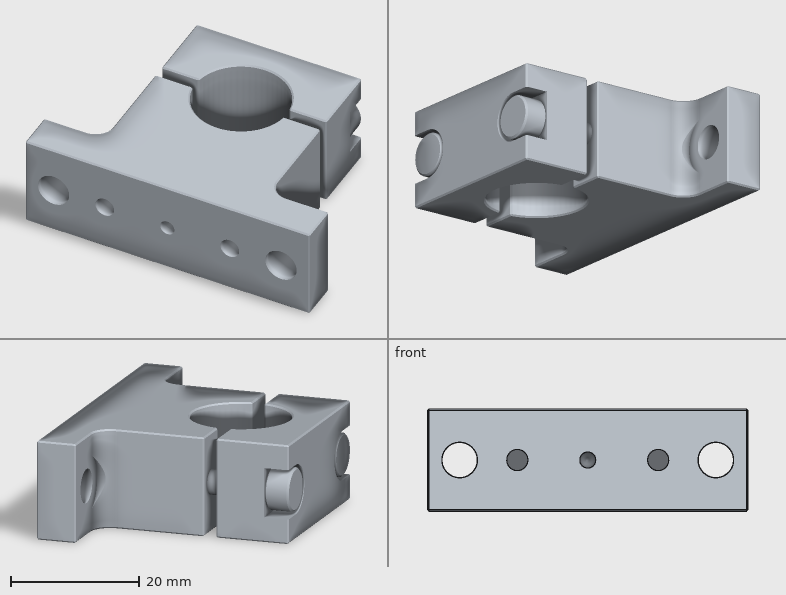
import cadquery as cq
import math


flange_length = 50.0
block_width = 29.0
total_depth = 38.0
height = 16.0
flange_thickness = 6.5
flange_fillet = 3.1
edge_chamfer = 0.25
mid_height = height / 2

bore_diameter = 16.0
bore_y = 25.0
clamp_gap = 2.0
base_top_y = bore_y - clamp_gap / 2
cap_bottom_y = bore_y + clamp_gap / 2

screw_spacing = 22.0
screw_x_positions = (-screw_spacing / 2, screw_spacing / 2)
shank_diameter = 4.0
shank_length = 20.0
head_diameter = 7.0
head_height = 4.0
head_chamfer = 0.3
recess_width = 8.0
seat_y = total_depth - head_height
shank_end_y = seat_y - shank_length

tap_drill_diameter = 3.3
mount_hole_diameter = 5.5
mount_hole_spacing = 40.0
spotface_diameter = 10.0
center_hole_diameter = 2.5
center_hole_depth = 1.3
drill_point_angle = 90.0


def y_cylinder(diameter, x, y_start, length):
    """Cylinder along +Y at mid height, starting at y_start."""
    return cq.Workplane(
        cq.Solid.makeCylinder(
            diameter / 2, length, cq.Vector(x, y_start, mid_height), cq.Vector(0, 1, 0)
        )
    )


def shaft_bore():
    """Cylinder along Z that clears the shaft through both halves."""
    return cq.Workplane("XY").center(0, bore_y).circle(bore_diameter / 2).extrude(height)


def chamfer_outside(body):
    """Break every edge except the smooth tangent lines where a flange fillet begins and ends."""
    face_edges = body.faces("<Z or >Z").edges()
    fillet_start_x = block_width / 2 + flange_fillet
    fillet_end_y = flange_thickness + flange_fillet
    corner_edges = body.edges("|Z").filter(
        lambda edge: abs(edge.Center().y - fillet_end_y) > edge_chamfer
        and abs(abs(edge.Center().x) - fillet_start_x) > edge_chamfer
    )
    return body.newObject(face_edges.vals() + corner_edges.vals()).chamfer(edge_chamfer)


def center_hole():
    """Blind drilled hole with a conical end, revolved about the Y axis."""
    radius = center_hole_diameter / 2
    point_length = radius / math.tan(math.radians(drill_point_angle / 2))
    return (
        cq.Workplane("XY")
        .workplane(offset=mid_height)
        .moveTo(0, 0)
        .lineTo(radius, 0)
        .lineTo(radius, center_hole_depth)
        .lineTo(0, center_hole_depth + point_length)
        .close()
        .revolve(360, (0, 0, 0), (0, 1, 0))
    )


def make_base():
    """Flanged base with the lower half of the bore and all its holes."""
    flange = cq.Workplane("XY").box(
        flange_length, flange_thickness, height, centered=(True, False, False)
    )
    block = cq.Workplane("XY").box(
        block_width, base_top_y, height, centered=(True, False, False)
    )
    inner_corners = cq.selectors.BoxSelector(
        (-flange_length / 2 + edge_chamfer, flange_thickness - edge_chamfer, 0),
        (flange_length / 2 - edge_chamfer, flange_thickness + edge_chamfer, height),
    )
    base = flange.union(block).edges("|Z").edges(inner_corners).fillet(flange_fillet)
    base = chamfer_outside(base.cut(shaft_bore()))

    for x in (-mount_hole_spacing / 2, mount_hole_spacing / 2):
        base = base.cut(y_cylinder(mount_hole_diameter, x, 0, flange_thickness))
        base = base.cut(y_cylinder(spotface_diameter, x, flange_thickness, base_top_y))
    for x in screw_x_positions:
        base = base.cut(y_cylinder(tap_drill_diameter, x, 0, shank_end_y))
        base = base.cut(y_cylinder(shank_diameter, x, shank_end_y, shank_length))
    return base.cut(center_hole())


def screw_recess(x):
    """Round-ended pocket for a screw head, open to the nearest side and the top."""
    side = math.copysign(1, x)
    slot_length = block_width / 2
    slot = cq.Workplane("XY").box(
        slot_length, head_height, recess_width, centered=(True, False, True)
    )
    slot = slot.translate((x + side * slot_length / 2, seat_y, mid_height))
    return slot.union(y_cylinder(recess_width, x, seat_y, head_height))


def make_cap():
    """Clamp cap with the upper half of the bore, screw holes and head recesses."""
    cap = cq.Workplane("XY").box(
        block_width, total_depth - cap_bottom_y, height, centered=(True, False, False)
    )
    cap = cap.translate((0, cap_bottom_y, 0))
    cap = chamfer_outside(cap.cut(shaft_bore()))
    for x in screw_x_positions:
        cap = cap.cut(y_cylinder(shank_diameter, x, cap_bottom_y, total_depth))
        cap = cap.cut(screw_recess(x))
    return cap


def make_screw(x):
    """Cap screw with its head flush with the outer face of the cap."""
    head = y_cylinder(head_diameter, x, seat_y, head_height).edges("%CIRCLE").chamfer(head_chamfer)
    shank = y_cylinder(shank_diameter, x, shank_end_y, shank_length + head_height / 2)
    return head.union(shank)


base = make_base()
cap = make_cap()
screws = [make_screw(x) for x in screw_x_positions]

result = cq.Compound.makeCompound([base.val(), cap.val(), *[screw.val() for screw in screws]])